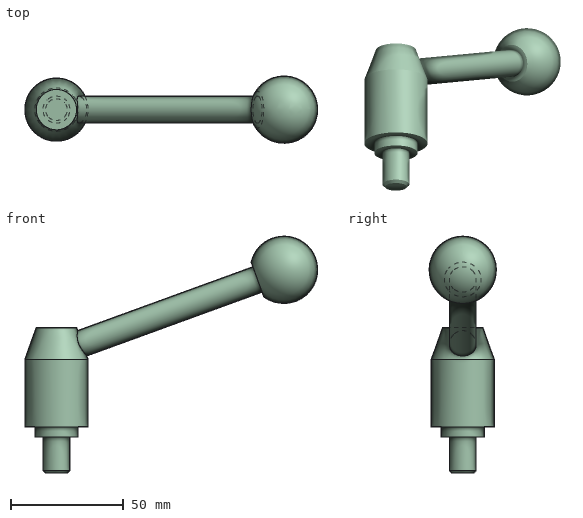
import cadquery as cq
import math

stud_radius = 6.0
stud_chamfer = 1.2
collar_radius = 9.6
collar_bottom = 16.0
body_radius = 14.0
body_bottom = 20.5
cone_bottom = 50.3
cone_top_radius = 9.0
hub_top = 64.5

total_length = 129.7
total_height = 105.0
ball_radius = 14.9
ball_flat_radius = 8.2
arm_radius = 6.0
arm_angle = 20

ball_x = total_length - body_radius - ball_radius
ball_z = total_height - ball_radius
arm_length = ball_x / math.cos(math.radians(arm_angle))
ball_flat_distance = math.sqrt(ball_radius**2 - ball_flat_radius**2)


def make_hub():
    """Revolve the chamfered stud, collar, body and conical top."""
    profile = [
        (0, 0),
        (stud_radius - stud_chamfer, 0),
        (stud_radius, stud_chamfer),
        (stud_radius, collar_bottom),
        (collar_radius, collar_bottom),
        (collar_radius, body_bottom),
        (body_radius, body_bottom),
        (body_radius, cone_bottom),
        (cone_top_radius, hub_top),
        (0, hub_top),
    ]
    return cq.Workplane("XZ").polyline(profile).close().revolve(360, (0, 0), (0, 1))


def make_lever():
    """Revolve the arm and its flat-faced ball about X, then tilt them into place."""
    flat_x = arm_length - ball_flat_distance
    profile = (
        cq.Workplane("XZ")
        .lineTo(0, arm_radius)
        .lineTo(flat_x, arm_radius)
        .lineTo(flat_x, ball_flat_radius)
        .threePointArc((arm_length, ball_radius), (arm_length + ball_radius, 0))
        .close()
    )
    lever = profile.revolve(360, (0, 0), (1, 0))
    arm_start_z = ball_z - arm_length * math.sin(math.radians(arm_angle))
    return lever.rotate((0, 0, 0), (0, 1, 0), -arm_angle).translate((0, 0, arm_start_z))


result = make_hub().union(make_lever())